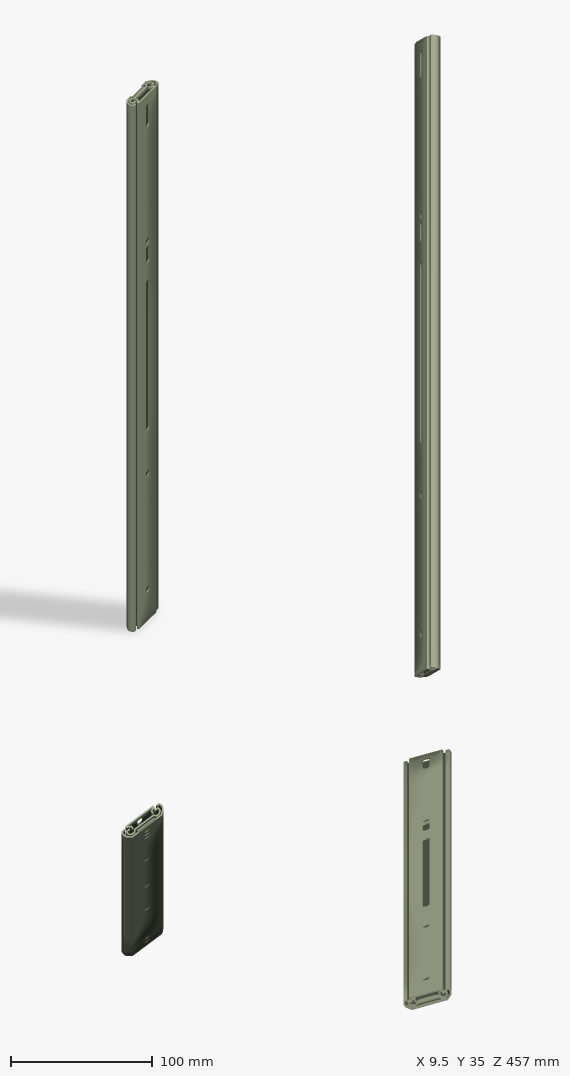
import cadquery as cq
import math

LENGTH = 457.0
THICKNESS = 9.5
HEIGHT = 35.0
SHEET = 1.15
OPENING_DEPTH = 1.5 * SHEET
HALF_THICKNESS = THICKNESS / 2
HALF_HEIGHT = HEIGHT / 2

OUTER_WEB_HALF = 13.3
OUTER_BEND_RADIUS = 1.5
CROWN_DIAMETER = 10.0
FLANK_X = -2.0
LIP_X = 3.5
LIP_BOTTOM = 14.0

MIDDLE_WEB_X = -1.6
MIDDLE_WEB_HALF = 8.0
MIDDLE_STEP_X = -3.0
MIDDLE_STEP_Y = 9.5
MIDDLE_SHOULDER_Y = 12.5
MIDDLE_TOP_X = -1.5
MIDDLE_TOP_Y = 14.5
MIDDLE_LIP_X = 2.0
MIDDLE_LIP_Y = 11.0

INNER_WEB_HALF = 12.5
INNER_SHOULDER_X = 3.0
INNER_RACE_X = 2.0
INNER_RACE_Y = 9.5
INNER_OPEN_X = 0.0

TAB_WIDTH = 15.5
TAB_BEND_RADIUS = 3.0
TAB_ANGLE = 70
TAB_HEIGHT = TAB_BEND_RADIUS * math.sin(math.radians(TAB_ANGLE))

HOLE_DIAMETER = 5.0
THROUGH_HOLE_Z = [212.5, 101.5]
OUTER_HOLE_Z = [200.0, 187.5, 0.0, -88.5, -200.0, -212.5]
INNER_HOLE_Z = [101.5, -100.5, -201.0]
INNER_SLOTS = [(19.5, 210.8), (14.0, 89.5), (130.8, 2.5)]


def mirrored(half_points):
    """Points of the +Y half, preceded by their mirror images in the XZ plane."""
    return [(x, -y) for x, y in half_points] + list(reversed(half_points))


def sheet_tube(section):
    """Full-length closed tube with one sheet thickness of wall inside the section outline."""
    outline = section.wires().val()
    cavity = section.offset2D(-SHEET, "intersection").wires().val()
    tube = cq.Workplane("XY").add([outline, cavity]).toPending().extrude(LENGTH)
    return tube.translate((0, 0, -LENGTH / 2))


def opening(x_start, x_end, half_height):
    """Full-length block that removes the open side of a tube."""
    block = cq.Workplane("XY").box(x_end - x_start, 2 * half_height, LENGTH)
    return block.translate(((x_start + x_end) / 2, 0, 0))


def cross_holes(heights, x_start):
    """Round holes along X through one sheet thickness, on the centre line of a web."""
    return (
        cq.Workplane("YZ", origin=(x_start, 0, 0))
        .pushPoints([(0, z) for z in heights])
        .circle(HOLE_DIAMETER / 2)
        .extrude(SHEET)
    )


def outer_section():
    """Closed outline with a sloped flank, a round crown and a straight +X side."""
    crown_radius = CROWN_DIAMETER / 2
    crown_x = (FLANK_X + LIP_X) / 2
    half_chord = (LIP_X - FLANK_X) / 2
    flank_y = HALF_HEIGHT - crown_radius + math.sqrt(crown_radius**2 - half_chord**2)
    return (
        cq.Workplane("XY")
        .moveTo(-HALF_THICKNESS, -OUTER_WEB_HALF)
        .lineTo(FLANK_X, -flank_y)
        .threePointArc((crown_x, -HALF_HEIGHT), (LIP_X, -flank_y))
        .lineTo(LIP_X, flank_y)
        .threePointArc((crown_x, HALF_HEIGHT), (FLANK_X, flank_y))
        .lineTo(-HALF_THICKNESS, OUTER_WEB_HALF)
        .close()
    )


def stop_tab():
    """Curved tab that leaves the web face tangentially and reaches the end plane of the slide."""
    inner_radius = TAB_BEND_RADIUS - SHEET

    def bend_point(radius, angle):
        return (-radius * math.cos(math.radians(angle)), radius * math.sin(math.radians(angle)))

    return (
        cq.Workplane("XZ", origin=(TAB_BEND_RADIUS - HALF_THICKNESS, TAB_WIDTH / 2, LENGTH / 2 - TAB_HEIGHT))
        .moveTo(-TAB_BEND_RADIUS, 0)
        .threePointArc(bend_point(TAB_BEND_RADIUS, TAB_ANGLE / 2), bend_point(TAB_BEND_RADIUS, TAB_ANGLE))
        .lineTo(*bend_point(inner_radius, TAB_ANGLE))
        .threePointArc(bend_point(inner_radius, TAB_ANGLE / 2), (-inner_radius, 0))
        .close()
        .extrude(TAB_WIDTH)
    )


def make_outer():
    body = sheet_tube(outer_section()).edges("|Z and <X").fillet(OUTER_BEND_RADIUS)
    body = body.cut(opening(LIP_X - OPENING_DEPTH, LIP_X, LIP_BOTTOM))
    tab_notch = cq.Workplane("XY").box(SHEET, TAB_WIDTH, TAB_HEIGHT).translate(
        (-HALF_THICKNESS + SHEET / 2, 0, (LENGTH - TAB_HEIGHT) / 2)
    )
    body = body.cut(tab_notch).union(stop_tab())
    return body.cut(cross_holes(THROUGH_HOLE_Z + OUTER_HOLE_Z, -HALF_THICKNESS))


def make_middle():
    points = mirrored(
        [
            (MIDDLE_WEB_X, MIDDLE_WEB_HALF),
            (MIDDLE_STEP_X, MIDDLE_STEP_Y),
            (MIDDLE_STEP_X, MIDDLE_SHOULDER_Y),
            (MIDDLE_TOP_X, MIDDLE_TOP_Y),
            (MIDDLE_LIP_X, MIDDLE_TOP_Y),
        ]
    )
    body = sheet_tube(cq.Workplane("XY").polyline(points).close())
    body = body.cut(opening(MIDDLE_LIP_X - OPENING_DEPTH, MIDDLE_LIP_X, MIDDLE_LIP_Y))
    return body.cut(cross_holes(THROUGH_HOLE_Z, MIDDLE_WEB_X))


def make_inner():
    web_x = HALF_THICKNESS - SHEET
    points = mirrored(
        [
            (HALF_THICKNESS, INNER_WEB_HALF),
            (INNER_SHOULDER_X, INNER_WEB_HALF),
            (INNER_RACE_X, INNER_RACE_Y),
            (INNER_OPEN_X, INNER_RACE_Y),
        ]
    )
    body = sheet_tube(cq.Workplane("XY").polyline(points).close())
    body = body.cut(opening(INNER_OPEN_X, INNER_OPEN_X + SHEET, INNER_RACE_Y - SHEET))
    body = body.cut(cross_holes(INNER_HOLE_Z, web_x))
    for length, height in INNER_SLOTS:
        slot = cq.Workplane("YZ", origin=(web_x, 0, height)).slot2D(length, HOLE_DIAMETER, 90).extrude(SHEET)
        body = body.cut(slot)
    return body


outer = make_outer()
middle = make_middle()
inner = make_inner()

result = cq.Compound.makeCompound([outer.val(), middle.val(), inner.val()])